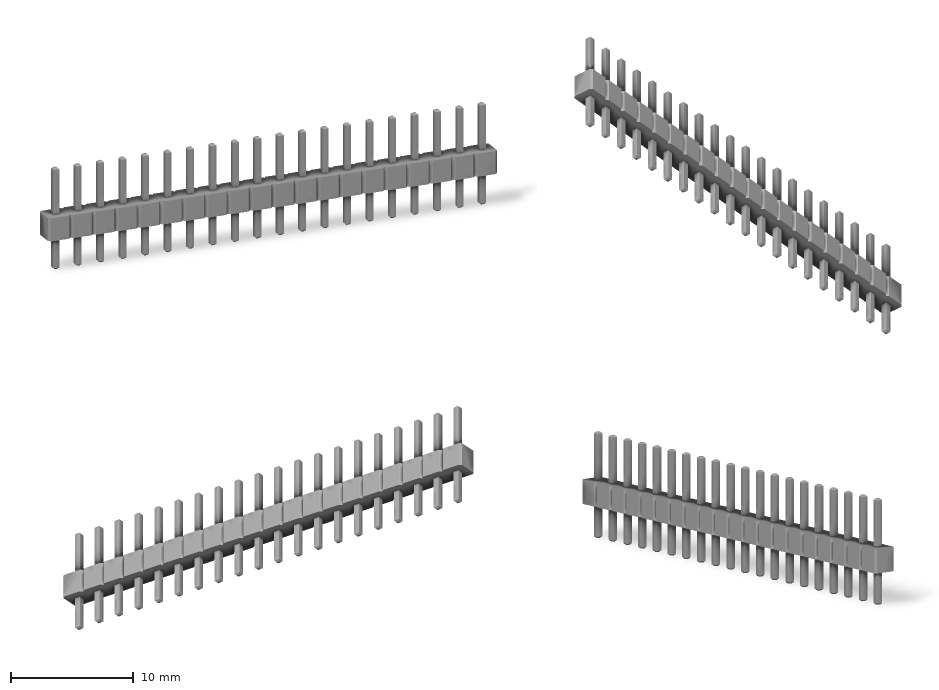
import cadquery as cq

pin_count = 20
pitch = 2.0
body_height = 2.0
corner_chamfer = 0.2
pin_width = pitch / 4
pin_above_body = 4.0
pin_below_body = 2.8
tip_chamfer = pin_width / 4

row_length = pin_count * pitch
pin_length = pin_below_body + body_height + pin_above_body
positions = [(0, (i + 0.5) * pitch - row_length / 2) for i in range(pin_count)]


def make_body():
    """Row of square cells with chamfered vertical corners, joined face to face."""
    cell = (
        cq.Workplane("XY")
        .rect(pitch, pitch)
        .extrude(body_height)
        .edges("|Z")
        .chamfer(corner_chamfer)
        .val()
    )
    return cq.Workplane("XY").pushPoints(positions).eachpoint(cell, combine="a")


def make_pins():
    """One square pin through each cell, chamfered all round at both tips."""
    pin = (
        cq.Workplane("XY")
        .workplane(offset=-pin_below_body)
        .rect(pin_width, pin_width)
        .extrude(pin_length)
        .faces("<Z or >Z")
        .chamfer(tip_chamfer)
        .val()
    )
    return cq.Workplane("XY").pushPoints(positions).eachpoint(pin)


result = make_body().union(make_pins())